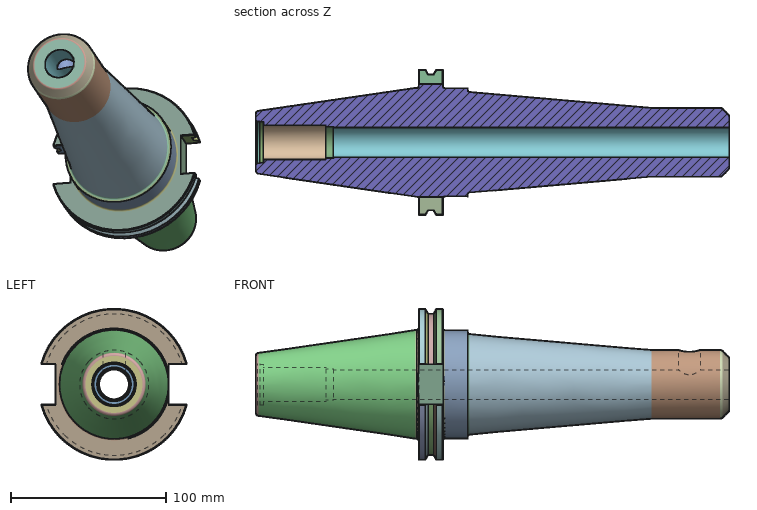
import cadquery as cq
import math

TOTAL_LENGTH = 304.82
GAUGE_X = 101.62
GAUGE_DIAMETER = 69.85
TAPER_RATIO = 7 / 24
TAPER_END_DIAMETER = 70.2
SHANK_END_FILLET = 2.0

FLANGE_START = GAUGE_X + 3.18
FLANGE_END = GAUGE_X + 19.05
FLANGE_RADIUS = 97.5 / 2
FLANGE_EDGE_CHAMFER = 0.5
GROOVE_CENTER = GAUGE_X + 11.1
GROOVE_FLOOR_WIDTH = 3.6
GROOVE_DEPTH = 3.1
GROOVE_WALL_ANGLE = 30
FLANGE_ROOT_FILLET = 1.0

SLOT_WIDTH = 25.7
SLOT_FLOOR_FRONT = 35.3
SLOT_FLOOR_BACK = 37.7

COLLAR_DIAMETER = 69.85
COLLAR_END = GAUGE_X + 35
NECK_HALF_ANGLE = 5
NECK_ROOT_FILLET = 1.0
NOSE_DIAMETER = 44.45
NOSE_LENGTH = 50.0
NOSE_CHAMFER = 5.0
NOSE_OUTER_BLEND = 2.5
NOSE_END_BLEND = 1.5

MOUTH_DIAMETER = 28.4
COUNTERBORE_DIAMETER = 26.7
COUNTERBORE_DEPTH = 2.5
PILOT_DIAMETER = 26.2
PILOT_DEPTH = 5.0
THREAD_BORE_DIAMETER = 21.97
THREAD_BORE_DEPTH = 45.0
RELIEF_DIAMETER = 20.05
RELIEF_DEPTH = 50.0
TOOL_BORE_DIAMETER = 19.05

SCREW_HOLE_DIAMETER = 14.35
SCREW_HOLE_X = TOTAL_LENGTH - 25.8


def revolve_about_x(profile):
    """Solid of revolution from (x, radius) points."""
    return cq.Workplane("XY").polyline(profile).close().revolve(360, (0, 0, 0), (1, 0, 0))


def circle_edge(solid, x, radius):
    """Circular edge about the X axis at the given station and radius."""
    margin = 0.01
    low = (x - margin, -radius - margin, -radius - margin)
    high = (x + margin, radius + margin, radius + margin)
    in_station = solid.edges(cq.selectors.BoxSelector(low, high, boundingbox=True))
    return in_station.edges(cq.selectors.RadiusNthSelector(-1))


def make_body():
    """Taper shank, plain flange, collar, neck and nose with their rounded edges."""
    small_radius = (GAUGE_DIAMETER - GAUGE_X * TAPER_RATIO) / 2
    taper_end_radius = TAPER_END_DIAMETER / 2
    taper_end_x = GAUGE_X + (TAPER_END_DIAMETER - GAUGE_DIAMETER) / TAPER_RATIO
    collar_radius = COLLAR_DIAMETER / 2
    nose_radius = NOSE_DIAMETER / 2
    nose_start = TOTAL_LENGTH - NOSE_LENGTH
    neck_radius = nose_radius + (nose_start - COLLAR_END) * math.tan(math.radians(NECK_HALF_ANGLE))
    chamfer_start = TOTAL_LENGTH - NOSE_CHAMFER
    end_radius = nose_radius - NOSE_CHAMFER
    body = revolve_about_x([
        (0, 0),
        (0, small_radius),
        (taper_end_x, taper_end_radius),
        (FLANGE_START, taper_end_radius),
        (FLANGE_START, FLANGE_RADIUS),
        (FLANGE_END, FLANGE_RADIUS),
        (FLANGE_END, collar_radius),
        (COLLAR_END, collar_radius),
        (COLLAR_END, neck_radius),
        (nose_start, nose_radius),
        (chamfer_start, nose_radius),
        (TOTAL_LENGTH, end_radius),
        (TOTAL_LENGTH, 0),
    ])
    rounded_edges = [
        (0, small_radius, SHANK_END_FILLET),
        (FLANGE_START, taper_end_radius, FLANGE_ROOT_FILLET),
        (FLANGE_END, collar_radius, FLANGE_ROOT_FILLET),
        (COLLAR_END, neck_radius, NECK_ROOT_FILLET),
        (chamfer_start, nose_radius, NOSE_OUTER_BLEND),
        (TOTAL_LENGTH, end_radius, NOSE_END_BLEND),
    ]
    for x, radius, fillet in rounded_edges:
        body = circle_edge(body, x, radius).fillet(fillet)
    for x in (FLANGE_START, FLANGE_END):
        body = circle_edge(body, x, FLANGE_RADIUS).chamfer(FLANGE_EDGE_CHAMFER)
    return body


def make_groove():
    """Ring with a V-shaped section that cuts the gripper groove."""
    floor_radius = FLANGE_RADIUS - GROOVE_DEPTH
    half_floor = GROOVE_FLOOR_WIDTH / 2
    half_mouth = half_floor + GROOVE_DEPTH * math.tan(math.radians(GROOVE_WALL_ANGLE))
    return revolve_about_x([
        (GROOVE_CENTER - half_mouth, FLANGE_RADIUS),
        (GROOVE_CENTER - half_floor, floor_radius),
        (GROOVE_CENTER + half_floor, floor_radius),
        (GROOVE_CENTER + half_mouth, FLANGE_RADIUS),
    ])


def make_slot(floor_y, side):
    """Drive slot cutter beyond floor_y on one side of the axis (side is +1 or -1).

    The cutter flares at both flange faces and at the flange rim, so the slot
    walls get chamfered edges there.
    """
    chamfer = FLANGE_EDGE_CHAMFER
    half = SLOT_WIDTH / 2
    reach = FLANGE_RADIUS - floor_y
    overhang = FLANGE_ROOT_FILLET
    start = FLANGE_START - overhang
    end = FLANGE_END + overhang
    flare = half + chamfer + overhang
    face_outline = [
        (start, flare),
        (FLANGE_START + chamfer, half),
        (FLANGE_END - chamfer, half),
        (end, flare),
        (end, -flare),
        (FLANGE_END - chamfer, -half),
        (FLANGE_START + chamfer, -half),
        (start, -flare),
    ]
    through_cut = (
        cq.Workplane("XZ", origin=(0, side * floor_y, 0))
        .polyline(face_outline)
        .close()
        .extrude(-side * reach)
    )
    rim_y = math.sqrt(FLANGE_RADIUS**2 - (half + chamfer) ** 2)
    rim_outline = [
        (side * (rim_y - chamfer), half),
        (side * (rim_y + chamfer), half + 2 * chamfer),
        (side * (rim_y + chamfer), -half - 2 * chamfer),
        (side * (rim_y - chamfer), -half),
    ]
    rim_cut = (
        cq.Workplane("YZ", origin=(FLANGE_START, 0, 0))
        .polyline(rim_outline)
        .close()
        .extrude(FLANGE_END - FLANGE_START)
    )
    return through_cut.union(rim_cut)


def make_bores():
    """Through bore with its stepped mouth and threaded end."""
    mouth_radius = MOUTH_DIAMETER / 2
    counterbore_radius = COUNTERBORE_DIAMETER / 2
    pilot_radius = PILOT_DIAMETER / 2
    thread_radius = THREAD_BORE_DIAMETER / 2
    relief_radius = RELIEF_DIAMETER / 2
    tool_radius = TOOL_BORE_DIAMETER / 2
    return revolve_about_x([
        (0, 0),
        (0, mouth_radius),
        (mouth_radius - counterbore_radius, counterbore_radius),
        (COUNTERBORE_DEPTH, counterbore_radius),
        (COUNTERBORE_DEPTH, pilot_radius),
        (PILOT_DEPTH, pilot_radius),
        (PILOT_DEPTH, thread_radius),
        (THREAD_BORE_DEPTH, thread_radius),
        (THREAD_BORE_DEPTH, relief_radius),
        (RELIEF_DEPTH, relief_radius),
        (RELIEF_DEPTH, tool_radius),
        (TOTAL_LENGTH, tool_radius),
        (TOTAL_LENGTH, 0),
    ])


def make_screw_hole():
    """Radial hole from the +Z side into the tool bore."""
    return (
        cq.Workplane("XY").center(SCREW_HOLE_X, 0).circle(SCREW_HOLE_DIAMETER / 2).extrude(NOSE_DIAMETER)
    )


result = (
    make_body()
    .cut(make_groove())
    .cut(make_slot(SLOT_FLOOR_FRONT, -1))
    .cut(make_slot(SLOT_FLOOR_BACK, 1))
    .cut(make_bores())
    .cut(make_screw_hole())
)